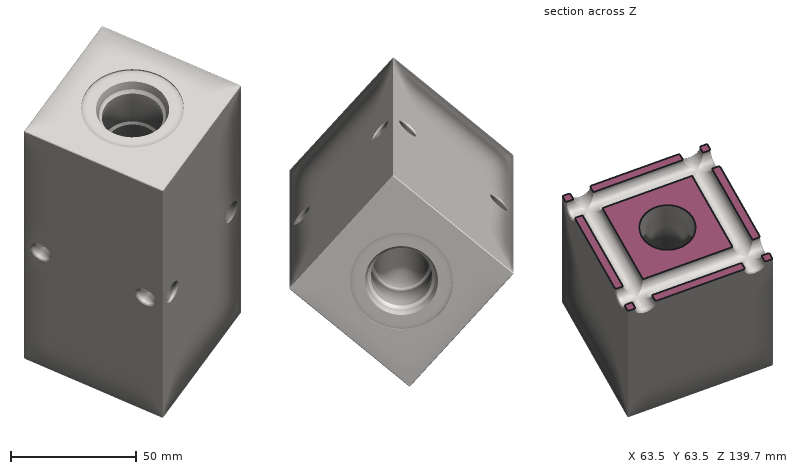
import cadquery as cq
import math

height = 139.7
width = 63.5
edge_chamfer = 0.3

spotface_diameter = 41.0
spotface_depth = 0.7
seat_mouth_diameter = 29.2
seat_throat_diameter = 27.0
seat_depth = 3.4
thread_diameter = 24.5
lead_in_angle = 45.0
thread_end_depth = 22.4
bore_diameter = 22.2
drill_point_angle = 118.0

cross_hole_diameter = 8.5
cross_hole_mouth_diameter = 9.5
cross_hole_spacing = 47.9


def cone_length(large_diameter, small_diameter, half_angle):
    """Axial length of a cone between two diameters."""
    return (large_diameter - small_diameter) / 2 / math.tan(math.radians(half_angle))


def make_port():
    """Revolved cutter for the upper port and the upper half of the bore."""
    top = height / 2
    spotface_z = top - spotface_depth
    seat_z = spotface_z - seat_depth
    lead_in_z = seat_z - cone_length(seat_throat_diameter, thread_diameter, lead_in_angle)
    thread_end_z = top - thread_end_depth
    bore_z = thread_end_z - cone_length(thread_diameter, bore_diameter, drill_point_angle / 2)
    profile = [
        (0, top),
        (spotface_diameter / 2, top),
        (spotface_diameter / 2, spotface_z),
        (seat_mouth_diameter / 2, spotface_z),
        (seat_throat_diameter / 2, seat_z),
        (thread_diameter / 2, lead_in_z),
        (thread_diameter / 2, thread_end_z),
        (bore_diameter / 2, bore_z),
        (bore_diameter / 2, 0),
        (0, 0),
    ]
    return cq.Workplane("XZ").polyline(profile).close().revolve(360, (0, 0), (0, 1))


def make_cross_hole(offset):
    """Revolved cutter along Y at x = offset, with 45 degree chamfered mouths."""
    half_width = width / 2
    hole_radius = cross_hole_diameter / 2
    mouth_radius = cross_hole_mouth_diameter / 2
    chamfer_y = half_width - (mouth_radius - hole_radius)
    profile = [
        (offset, -half_width),
        (offset + mouth_radius, -half_width),
        (offset + hole_radius, -chamfer_y),
        (offset + hole_radius, chamfer_y),
        (offset + mouth_radius, half_width),
        (offset, half_width),
    ]
    outline = cq.Workplane("XY").polyline(profile).close()
    return outline.revolve(360, (offset, 0), (offset, 1))


result = cq.Workplane("XY").box(width, width, height)
result = result.edges().chamfer(edge_chamfer)

upper_port = make_port()
lower_port = upper_port.mirror("XY")
result = result.cut(upper_port).cut(lower_port)

for side in (-1, 1):
    hole_along_y = make_cross_hole(side * cross_hole_spacing / 2)
    hole_along_x = hole_along_y.rotate((0, 0, 0), (0, 0, 1), 90)
    result = result.cut(hole_along_y).cut(hole_along_x)